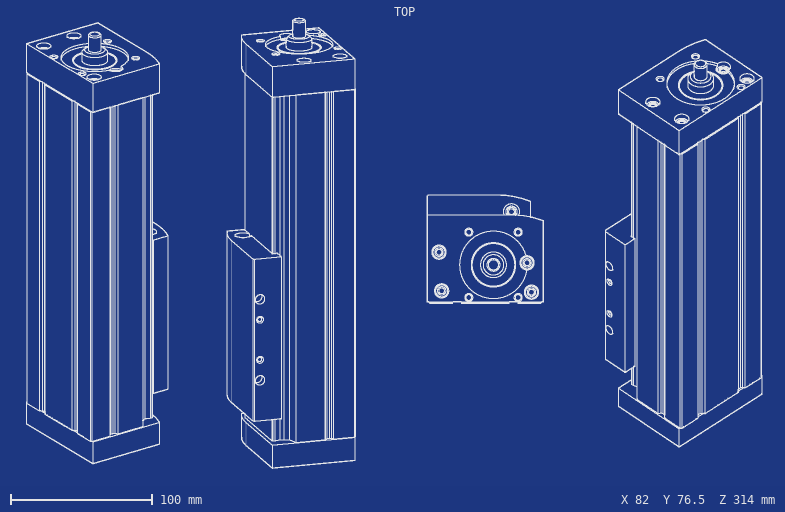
import cadquery as cq
import math


BOTTOM_PLATE_TOP = 17.0
TOP_PLATE_BOTTOM = 273.2
TOP_PLATE_TOP = 295.8
SHAFT_END = 314.0

PLATE_WIDTH = 82.0
PLATE_FRONT = 1.0
PLATE_BACK = 62.5
CORNER_ARC_RADIUS = 62.8
PLATE_ARC_START_X = 18.8

PROFILE_WIDTH = 80.0
PROFILE_BACK = 59.5
PROFILE_CHAMFER = 1.0
RAIL_HALF_WIDTH = 31.5
RAIL_NECK_HALF_WIDTH = 30.0
RAIL_BASE_HALF_WIDTH = 31.7
RAIL_CHAMFER = 0.5
SHOULDER_Y = 44.5
RAIL_BASE_START_Y = 46.8
RAIL_BASE_END_Y = 50.5
RAIL_NECK_Y = 53.5
RAIL_HEAD_Y = 57.0

SLOT_MOUTH_WIDTH = 6.5
SLOT_STEP_WIDTH = 4.7
SLOT_FLOOR_WIDTH = 2.0
SLOT_STEP_DEPTH = 2.0
SLOT_DEPTH = 2.5
FRONT_SLOT_SPACING = 40.0
SIDE_SLOT_Y = 19.8

CARRIAGE_LENGTH = 119.3
CARRIAGE_MIDDLE_Z = 95.5
CARRIAGE_RIGHT = 32.0
CARRIAGE_BACK = 76.5
CARRIAGE_LIP_Y = 55.5
CARRIAGE_CHAMFER = 1.0
CARRIAGE_ARC_START_X = 8.5
SIDE_HOLE_Y = 71.5
DOWEL_HOLE_DIAMETER = 7.0
DOWEL_HOLE_DEPTH = 6.3
DOWEL_HOLE_OFFSET = 29.8
CARRIAGE_TAP_OFFSET = 14.8
CARRIAGE_TAP_MOUTH = 5.0
CARRIAGE_TAP_DIAMETER = 3.0
END_SCREW_X = 18.5
END_SCREW_Y = 64.7
END_SCREW_BORE = 11.3
END_SCREW_HEAD = 8.0

LEFT_TAP_X = -11.5
LOWER_TAP_Y = 4.0
TAP_SPACING_X = 35.0
TAP_SPACING_Y = 46.2
TAP_MOUTH = 5.5
TAP_DIAMETER = 4.0

SHAFT_X = LEFT_TAP_X + TAP_SPACING_X / 2
SHAFT_Y = LOWER_TAP_Y + TAP_SPACING_Y / 2
SHAFT_DIAMETER = 9.0
SHAFT_CHAMFER = 1.0
COLLAR_DIAMETER = 18.2
COLLAR_TOP = 301.8
COLLAR_CHAMFER = 2.0
FLANGE_DIAMETER = 30.0
FLANGE_THICKNESS = 6.3
RECESS_DIAMETER = 47.7
RECESS_DEPTH = 2.2
SEAT_CHAMFER = 0.5

SCREW_BORE = 10.0
SCREW_HEAD = 8.5
SCREW_SOCKET_MOUTH = 6.0
SCREW_SOCKET = 4.0
SCREW_HEAD_DROP = 3.0
SCREW_BORE_DEPTH = 8.0
SCREW_MOUTH_DEPTH = 1.0
SCREW_SOCKET_DEPTH = 3.0
PLATE_SCREWS = [(-32.5, 36.0), (-30.8, 8.8), (29.5, 28.5), (32.5, 8.0)]

TAP_DEPTH = 9.5
DRILL_TIP_ANGLE = 118.0


def arc_point(start_x, flat_y, x):
    """Point at x on the arc that leaves the flat at (start_x, flat_y) and falls toward +X."""
    run = x - start_x
    return x, flat_y - CORNER_ARC_RADIUS + math.sqrt(CORNER_ARC_RADIUS**2 - run**2)


def revolved(points):
    """Solid turned about the Z axis from (radius, height) points."""
    return cq.Workplane("XZ").polyline(points).close().revolve(360, (0, 0), (0, 1))


def tapped_hole(mouth, diameter):
    """Cutter for a blind hole from Z = 0 downward, with a chamfered mouth and a drill tip."""
    radius = diameter / 2
    chamfer = (mouth - diameter) / 2
    tip = radius / math.tan(math.radians(DRILL_TIP_ANGLE / 2))
    return revolved([
        (0, 0),
        (mouth / 2, 0),
        (radius, -chamfer),
        (radius, -TAP_DEPTH),
        (0, -TAP_DEPTH - tip),
    ])


def screw_recess(bore, head):
    """Cutter from Z = 0 downward that leaves a sunk screw head with a stepped socket."""
    mouth_bottom = SCREW_HEAD_DROP + SCREW_MOUTH_DEPTH
    socket_bottom = SCREW_HEAD_DROP + SCREW_SOCKET_DEPTH
    return revolved([
        (0, 0),
        (bore / 2, 0),
        (bore / 2, -SCREW_BORE_DEPTH),
        (head / 2, -SCREW_BORE_DEPTH),
        (head / 2, -SCREW_HEAD_DROP),
        (SCREW_SOCKET_MOUTH / 2, -SCREW_HEAD_DROP),
        (SCREW_SOCKET_MOUTH / 2, -mouth_bottom),
        (SCREW_SOCKET / 2, -mouth_bottom),
        (SCREW_SOCKET / 2, -socket_bottom),
        (0, -socket_bottom),
    ])


def end_plate(bottom, top):
    """Plate whose +X, +Y corner is rounded off by a wide arc."""
    half_width = PLATE_WIDTH / 2
    arc_middle_x = (PLATE_ARC_START_X + half_width) / 2
    return (
        cq.Workplane("XY", origin=(0, 0, bottom))
        .moveTo(-half_width, PLATE_FRONT)
        .lineTo(-half_width, PLATE_BACK)
        .lineTo(PLATE_ARC_START_X, PLATE_BACK)
        .threePointArc(
            arc_point(PLATE_ARC_START_X, PLATE_BACK, arc_middle_x),
            arc_point(PLATE_ARC_START_X, PLATE_BACK, half_width),
        )
        .lineTo(half_width, PLATE_FRONT)
        .close()
        .extrude(top - bottom)
    )


def make_top_plate():
    plate = end_plate(TOP_PLATE_BOTTOM, TOP_PLATE_TOP)

    seat_radius = FLANGE_DIAMETER / 2
    seat = revolved([
        (0, 0),
        (RECESS_DIAMETER / 2, 0),
        (RECESS_DIAMETER / 2, -RECESS_DEPTH),
        (seat_radius + SEAT_CHAMFER, -RECESS_DEPTH),
        (seat_radius, -RECESS_DEPTH - SEAT_CHAMFER),
        (seat_radius, -RECESS_DEPTH - FLANGE_THICKNESS),
        (0, -RECESS_DEPTH - FLANGE_THICKNESS),
    ])
    plate = plate.cut(seat.translate((SHAFT_X, SHAFT_Y, TOP_PLATE_TOP)))

    screw = screw_recess(SCREW_BORE, SCREW_HEAD)
    for x, y in PLATE_SCREWS:
        plate = plate.cut(screw.translate((x, y, TOP_PLATE_TOP)))

    tap = tapped_hole(TAP_MOUTH, TAP_DIAMETER)
    for side_x in (-1, 1):
        for side_y in (-1, 1):
            x = SHAFT_X + side_x * TAP_SPACING_X / 2
            y = SHAFT_Y + side_y * TAP_SPACING_Y / 2
            plate = plate.cut(tap.translate((x, y, TOP_PLATE_TOP)))
    return plate


def slot_cutter(length):
    """Slot cutter along Z whose mouth lies on Y = 0 and whose floor is toward +Y."""
    return (
        cq.Workplane("XY")
        .polyline([
            (-SLOT_MOUTH_WIDTH / 2, 0),
            (-SLOT_STEP_WIDTH / 2, SLOT_STEP_DEPTH),
            (-SLOT_FLOOR_WIDTH / 2, SLOT_DEPTH),
            (SLOT_FLOOR_WIDTH / 2, SLOT_DEPTH),
            (SLOT_STEP_WIDTH / 2, SLOT_STEP_DEPTH),
            (SLOT_MOUTH_WIDTH / 2, 0),
        ])
        .close()
        .extrude(length)
    )


def make_profile():
    length = TOP_PLATE_BOTTOM - BOTTOM_PLATE_TOP
    right_half = [
        (PROFILE_WIDTH / 2 - PROFILE_CHAMFER, 0),
        (PROFILE_WIDTH / 2, PROFILE_CHAMFER),
        (PROFILE_WIDTH / 2, SHOULDER_Y),
        (RAIL_BASE_HALF_WIDTH, RAIL_BASE_START_Y),
        (RAIL_BASE_HALF_WIDTH, RAIL_BASE_END_Y),
        (RAIL_NECK_HALF_WIDTH, RAIL_NECK_Y),
        (RAIL_HALF_WIDTH, RAIL_HEAD_Y),
        (RAIL_HALF_WIDTH, PROFILE_BACK - RAIL_CHAMFER),
        (RAIL_HALF_WIDTH - RAIL_CHAMFER, PROFILE_BACK),
    ]
    left_half = [(-x, y) for x, y in reversed(right_half)]
    profile = cq.Workplane("XY").polyline(right_half + left_half).close().extrude(length)

    slot = slot_cutter(length)
    for side in (-1, 1):
        side_slot = slot.rotate((0, 0, 0), (0, 0, 1), side * 90)
        profile = profile.cut(slot.translate((side * FRONT_SLOT_SPACING / 2, 0, 0)))
        profile = profile.cut(side_slot.translate((side * PROFILE_WIDTH / 2, SIDE_SLOT_Y, 0)))
    return profile.translate((0, 0, BOTTOM_PLATE_TOP))


def make_carriage():
    left = -PLATE_WIDTH / 2
    bottom = CARRIAGE_MIDDLE_Z - CARRIAGE_LENGTH / 2
    top = CARRIAGE_MIDDLE_Z + CARRIAGE_LENGTH / 2
    arc_middle_x = (CARRIAGE_ARC_START_X + CARRIAGE_RIGHT) / 2

    carriage = (
        cq.Workplane("XY", origin=(0, 0, bottom))
        .moveTo(left, CARRIAGE_LIP_Y)
        .lineTo(left, CARRIAGE_BACK - CARRIAGE_CHAMFER)
        .lineTo(left + CARRIAGE_CHAMFER, CARRIAGE_BACK)
        .lineTo(CARRIAGE_ARC_START_X, CARRIAGE_BACK)
        .threePointArc(
            arc_point(CARRIAGE_ARC_START_X, CARRIAGE_BACK, arc_middle_x),
            arc_point(CARRIAGE_ARC_START_X, CARRIAGE_BACK, CARRIAGE_RIGHT),
        )
        .lineTo(CARRIAGE_RIGHT, PROFILE_BACK)
        .lineTo(-RAIL_HALF_WIDTH, PROFILE_BACK)
        .lineTo(-RAIL_HALF_WIDTH, CARRIAGE_LIP_Y)
        .close()
        .extrude(top - bottom)
    )

    dowel_hole = cq.Workplane("YZ").circle(DOWEL_HOLE_DIAMETER / 2).extrude(DOWEL_HOLE_DEPTH)
    tap = tapped_hole(CARRIAGE_TAP_MOUTH, CARRIAGE_TAP_DIAMETER)
    side_tap = tap.rotate((0, 0, 0), (0, 1, 0), -90)
    for side in (-1, 1):
        dowel_z = CARRIAGE_MIDDLE_Z + side * DOWEL_HOLE_OFFSET
        tap_z = CARRIAGE_MIDDLE_Z + side * CARRIAGE_TAP_OFFSET
        carriage = carriage.cut(dowel_hole.translate((left, SIDE_HOLE_Y, dowel_z)))
        carriage = carriage.cut(side_tap.translate((left, SIDE_HOLE_Y, tap_z)))

    end_screw = screw_recess(END_SCREW_BORE, END_SCREW_HEAD)
    return carriage.cut(end_screw.translate((END_SCREW_X, END_SCREW_Y, top)))


def make_shaft():
    """Stepped shaft whose flange sits in the top plate, flush with the recess floor."""
    flange_top = TOP_PLATE_TOP - RECESS_DEPTH
    shaft_radius = SHAFT_DIAMETER / 2
    collar_radius = COLLAR_DIAMETER / 2
    shaft = revolved([
        (0, flange_top - FLANGE_THICKNESS),
        (FLANGE_DIAMETER / 2, flange_top - FLANGE_THICKNESS),
        (FLANGE_DIAMETER / 2, flange_top),
        (collar_radius, flange_top),
        (collar_radius, COLLAR_TOP - COLLAR_CHAMFER),
        (collar_radius - COLLAR_CHAMFER, COLLAR_TOP),
        (shaft_radius, COLLAR_TOP),
        (shaft_radius, SHAFT_END - SHAFT_CHAMFER),
        (shaft_radius - SHAFT_CHAMFER, SHAFT_END),
        (0, SHAFT_END),
    ])
    return shaft.translate((SHAFT_X, SHAFT_Y, 0))


bottom_plate = end_plate(0, BOTTOM_PLATE_TOP)
profile = make_profile()
top_plate = make_top_plate()
carriage = make_carriage()
shaft = make_shaft()

result = cq.Compound.makeCompound([
    bottom_plate.val(),
    profile.val(),
    top_plate.val(),
    carriage.val(),
    shaft.val(),
])